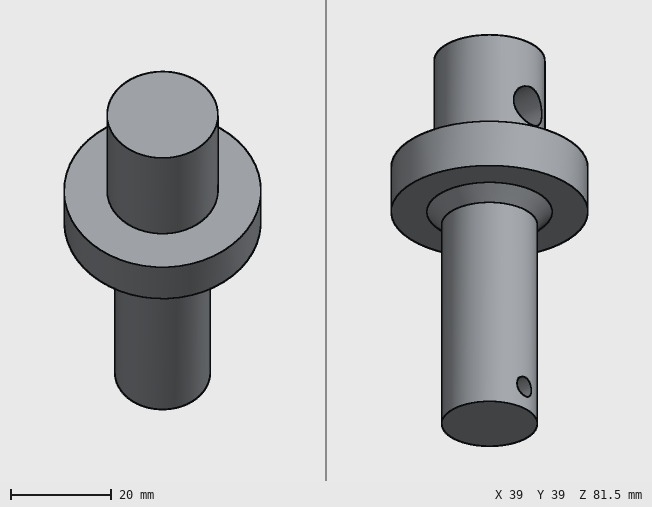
import cadquery as cq

total_length = 81.5
shank_diameter = 19.0
head_diameter = 22.0
flange_diameter = 39.0

cone_bottom = 44.7
flange_bottom = 47.6
flange_top = 57.5
cone_top_radius = shank_diameter / 2 + (flange_bottom - cone_bottom)

head_hole_diameter = 8.3
head_hole_height = 67.5
shank_hole_diameter = 4.2
shank_hole_height = 5.0


def turned_body():
    """Revolve the stepped half profile around Z."""
    shank_radius = shank_diameter / 2
    head_radius = head_diameter / 2
    flange_radius = flange_diameter / 2
    profile = [
        (0, 0),
        (shank_radius, 0),
        (shank_radius, cone_bottom),
        (cone_top_radius, flange_bottom),
        (flange_radius, flange_bottom),
        (flange_radius, flange_top),
        (head_radius, flange_top),
        (head_radius, total_length),
        (0, total_length),
    ]
    return cq.Workplane("XZ").polyline(profile).close().revolve(360, (0, 0), (0, 1))


def radial_hole(diameter, height):
    """Cutter running from the axis out past the +Y surface at the given height."""
    cutter_length = flange_diameter / 2
    return (
        cq.Workplane("XZ")
        .center(0, height)
        .circle(diameter / 2)
        .extrude(-cutter_length)
    )


result = (
    turned_body()
    .cut(radial_hole(head_hole_diameter, head_hole_height))
    .cut(radial_hole(shank_hole_diameter, shank_hole_height))
)